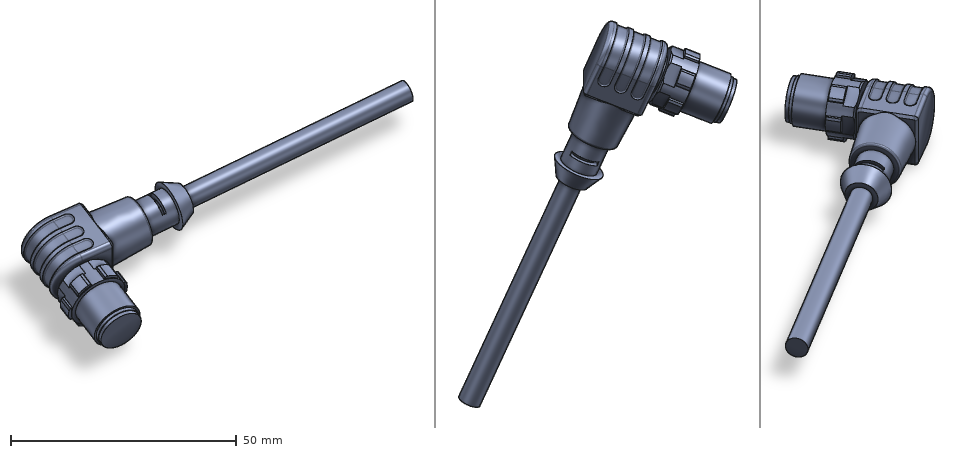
import cadquery as cq
import math


housing_height = 14.47
housing_radius = housing_height / 2
housing_left = -7.1
housing_right = 7.15
housing_back = 8.75
draft_angle = 3.5
left_fillet = 0.9
right_fillet = 1.2
back_chamfer = 0.6

groove_count = 3
groove_pitch = 4.03
groove_width = 2.9
groove_depth = 0.35
groove_floor_fillet = 0.3
groove_end_y = 4.9

sleeve_start_y = 7.0
sleeve_end_y = 19.6
sleeve_end_diameter = 11.9
sleeve_fillet = 0.5
stem_diameter = 8.8
collar_start_y = 27.3
collar_end_y = 31.4
collar_large_diameter = 11.8
collar_small_diameter = 7.6
cable_diameter = 5.2
cable_end_y = 89.32

window_y = 24.1
window_length = 1.0
window_half_width = 3.25
window_inner_z = 1.0
window_core_radius = 3.0
window_flat_half_width = 1.0

neck_diameter = 8.7
hex_start_x = 7.9
hex_sides = 6
hex_across_flats = 13.0
nut_diameter = 13.9
nut_chamfer = 0.4
lobe_start_x = 10.9
lobe_end_x = 14.4
nut_end_x = 14.6
lobe_count = 6
lobe_radius = 7.66
lobe_tip_half_width = 1.44
lobe_half_width = 2.0
lobe_shoulder = 7.15
barrel_diameter = 11.9
barrel_end_x = 22.6
lip_diameter = 10.9
lip_end_x = 23.4
tip_diameter = 10.5
tip_end_x = 24.3


def cylinder_x(diameter, start, end):
    """Cylinder on the plug axis."""
    return cq.Workplane("YZ").workplane(offset=start).circle(diameter / 2).extrude(end - start)


def nose_prism(radius, start, end):
    """Prism along X: a round nose toward -Y with tangent drafted sides running to +Y."""
    slope = math.radians(draft_angle)
    tangent_y = radius * math.sin(slope)
    tangent_z = radius * math.cos(slope)
    back_z = tangent_z - (housing_back - tangent_y) * math.tan(slope)
    return (
        cq.Workplane("YZ").workplane(offset=start)
        .moveTo(housing_back, -back_z)
        .lineTo(tangent_y, -tangent_z)
        .threePointArc((-radius, 0), (tangent_y, tangent_z))
        .lineTo(housing_back, back_z)
        .close()
        .extrude(end - start)
    )


def grip_groove(center_x):
    """Cutter for one groove: a round-ended strip that follows the housing surface."""
    half_width = groove_width / 2
    arc_center_y = groove_end_y - half_width
    strip = (
        cq.Workplane("XY").workplane(offset=-housing_height)
        .moveTo(center_x - half_width, -housing_height)
        .lineTo(center_x - half_width, arc_center_y)
        .threePointArc((center_x, groove_end_y), (center_x + half_width, arc_center_y))
        .lineTo(center_x + half_width, -housing_height)
        .close()
        .extrude(2 * housing_height)
    )
    core = nose_prism(housing_radius - groove_depth, center_x - groove_width, center_x + groove_width)
    inside_reach = housing_radius - groove_depth / 2
    floor_edges = cq.selectors.BoxSelector(
        (center_x - groove_width, -inside_reach, -inside_reach),
        (center_x + groove_width, housing_back, inside_reach),
    )
    return strip.cut(core).edges(floor_edges).fillet(groove_floor_fillet)


def make_housing():
    """Drafted housing with rounded side rims, a chamfered back and the grip grooves."""
    housing = nose_prism(housing_radius, housing_left, housing_right)
    housing = housing.faces("<X").edges("not >Y").fillet(left_fillet)
    housing = housing.faces(">X").edges("not >Y").fillet(right_fillet)
    housing = housing.faces(">Y").edges().chamfer(back_chamfer)
    for index in range(groove_count):
        center_x = (index - (groove_count - 1) / 2) * groove_pitch
        housing = housing.cut(grip_groove(center_x))
    return housing


def stem_windows():
    """Cutter for the two stem windows, leaving a flattened round core between them."""
    window_height = stem_diameter / 2
    core_flat_z = math.sqrt(window_core_radius**2 - window_flat_half_width**2)
    core = (
        cq.Workplane("XZ").workplane(offset=-window_y)
        .circle(window_core_radius)
        .extrude(window_length, both=True)
        .intersect(
            cq.Workplane("XY")
            .box(2 * window_half_width, 2 * window_length, 2 * core_flat_z)
            .translate((0, window_y, 0))
        )
    )
    blank = cq.Workplane("XY").box(2 * window_half_width, window_length, 2 * window_height)
    divider = cq.Workplane("XY").box(2 * window_half_width, window_length, 2 * window_inner_z)
    return blank.cut(divider).translate((0, window_y, 0)).cut(core)


def make_cable():
    """Sleeve, stem, collar and cable turned about the cable axis."""
    sleeve_length = sleeve_end_y - sleeve_start_y
    sleeve_end_radius = sleeve_end_diameter / 2
    sleeve_start_radius = sleeve_end_radius + sleeve_length * math.tan(math.radians(draft_angle))
    sleeve = (
        cq.Workplane("XY")
        .moveTo(0, sleeve_start_y)
        .lineTo(sleeve_start_radius, sleeve_start_y)
        .lineTo(sleeve_end_radius, sleeve_end_y)
        .lineTo(0, sleeve_end_y)
        .close()
        .revolve(360, (0, 0), (0, 1))
        .faces(">Y").edges().fillet(sleeve_fillet)
    )
    stem = (
        cq.Workplane("XY")
        .moveTo(0, sleeve_start_y)
        .lineTo(stem_diameter / 2, sleeve_start_y)
        .lineTo(stem_diameter / 2, collar_start_y)
        .lineTo(collar_large_diameter / 2, collar_start_y)
        .lineTo(collar_small_diameter / 2, collar_end_y)
        .lineTo(cable_diameter / 2, collar_end_y)
        .lineTo(cable_diameter / 2, cable_end_y)
        .lineTo(0, cable_end_y)
        .close()
        .revolve(360, (0, 0), (0, 1))
    )
    return sleeve.union(stem.cut(stem_windows()))


def nut_lobe(angle):
    """One raised grip lobe with chamfered shoulders, at an angle about the plug axis."""
    tip_y = math.sqrt(lobe_radius**2 - lobe_tip_half_width**2)
    lobe = (
        cq.Workplane("YZ").workplane(offset=lobe_start_x)
        .moveTo(0, -lobe_half_width)
        .lineTo(lobe_shoulder, -lobe_half_width)
        .lineTo(tip_y, -lobe_tip_half_width)
        .threePointArc((lobe_radius, 0), (tip_y, lobe_tip_half_width))
        .lineTo(lobe_shoulder, lobe_half_width)
        .lineTo(0, lobe_half_width)
        .close()
        .extrude(lobe_end_x - lobe_start_x)
    )
    return lobe.rotate((0, 0, 0), (1, 0, 0), angle)


def make_nut():
    """Hexagon with rounded corners, followed by the lobed grip ring."""
    hex_corner_diameter = hex_across_flats / math.cos(math.pi / hex_sides)
    hexagon = (
        cq.Workplane("YZ").workplane(offset=hex_start_x)
        .polygon(hex_sides, hex_corner_diameter)
        .extrude(lobe_start_x - hex_start_x)
        .rotate((0, 0, 0), (1, 0, 0), 180 / hex_sides)
    )
    envelope = cylinder_x(nut_diameter, hex_start_x, lobe_start_x).faces("<X").chamfer(nut_chamfer)
    nut = hexagon.intersect(envelope)
    nut = nut.union(cylinder_x(nut_diameter, lobe_start_x, nut_end_x))
    for index in range(lobe_count):
        nut = nut.union(nut_lobe(index * 360 / lobe_count))
    return nut


def make_plug():
    """Neck, barrel and stepped tip on the plug axis."""
    return (
        cylinder_x(neck_diameter, 0, hex_start_x)
        .union(cylinder_x(barrel_diameter, hex_start_x, barrel_end_x))
        .union(cylinder_x(lip_diameter, barrel_end_x, lip_end_x))
        .union(cylinder_x(tip_diameter, lip_end_x, tip_end_x))
    )


result = make_housing().union(make_cable()).union(make_plug()).union(make_nut())